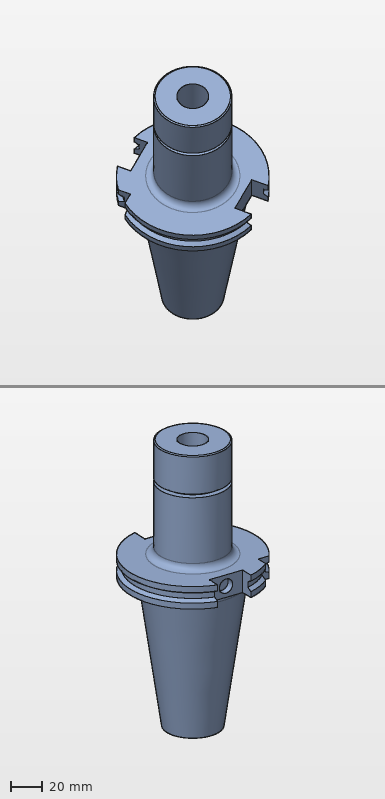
import cadquery as cq
import math

total_height = 201.8
taper_length = 101.7
taper_ratio = 7 / 24
gauge_radius = 35.0
tail_radius = gauge_radius - taper_length * taper_ratio / 2

flange_diameter = 97.5
flange_radius = flange_diameter / 2
flange_bottom = 105.0
flange_top = 120.8
flange_middle = (flange_bottom + flange_top) / 2
v_root_radius = 45.5
v_root_width = 3.8
v_flank_angle = 30.0
v_flank_height = (flange_radius - v_root_radius) * math.tan(math.radians(v_flank_angle))
v_root_bottom = flange_middle - v_root_width / 2
v_root_top = flange_middle + v_root_width / 2

nose_radius = 25.0
nose_fillet = 5.0
nose_groove_radius = 20.5
nose_groove_offset = 26.8
nose_groove_top = total_height - nose_groove_offset
nose_groove_width = 2.6
rim_chamfer_width = 1.0
rim_chamfer_height = 0.6
bore_diameter = 20.2
bore_depth = 50.5

key_slot_width = 25.6
left_slot_floor = 37.7
right_slot_floor = 35.5
notch_x = 29.9
notch_y = 30.3
side_hole_diameter = 10.0
side_hole_depth = 5.0


def turned_body():
    """Revolve the half profile of shank, flange and nose about Z."""
    fillet_middle_offset = nose_fillet * (1 - math.sqrt(0.5))
    nose_groove_bottom = nose_groove_top - nose_groove_width
    return (
        cq.Workplane("XZ")
        .lineTo(tail_radius, 0)
        .lineTo(gauge_radius, taper_length)
        .lineTo(gauge_radius, flange_bottom)
        .lineTo(flange_radius, flange_bottom)
        .lineTo(flange_radius, v_root_bottom - v_flank_height)
        .lineTo(v_root_radius, v_root_bottom)
        .lineTo(v_root_radius, v_root_top)
        .lineTo(flange_radius, v_root_top + v_flank_height)
        .lineTo(flange_radius, flange_top)
        .lineTo(nose_radius + nose_fillet, flange_top)
        .threePointArc(
            (nose_radius + fillet_middle_offset, flange_top + fillet_middle_offset),
            (nose_radius, flange_top + nose_fillet),
        )
        .lineTo(nose_radius, nose_groove_bottom)
        .lineTo(nose_groove_radius, nose_groove_bottom)
        .lineTo(nose_groove_radius, nose_groove_top)
        .lineTo(nose_radius, nose_groove_top)
        .lineTo(nose_radius, total_height - rim_chamfer_height)
        .lineTo(nose_radius - rim_chamfer_width, total_height)
        .lineTo(0, total_height)
        .close()
        .revolve(360, (0, 0, 0), (0, 1, 0))
    )


def flange_cutter(x_start, x_end, y_start, y_end):
    """Block spanning the full flange thickness."""
    return (
        cq.Workplane("XY", origin=(0, 0, flange_bottom))
        .moveTo((x_start + x_end) / 2, (y_start + y_end) / 2)
        .rect(abs(x_end - x_start), abs(y_end - y_start))
        .extrude(flange_top - flange_bottom)
    )


def bore():
    """Blind tool bore in the nose end."""
    return (
        cq.Workplane("XY", origin=(0, 0, total_height - bore_depth))
        .circle(bore_diameter / 2)
        .extrude(bore_depth)
    )


def side_hole():
    """Blind radial hole in the floor of the left key slot."""
    return (
        cq.Workplane("YZ", origin=(-left_slot_floor, 0, flange_middle))
        .circle(side_hole_diameter / 2)
        .extrude(side_hole_depth)
    )


half_slot = key_slot_width / 2
result = (
    turned_body()
    .cut(flange_cutter(-flange_radius, -left_slot_floor, -half_slot, half_slot))
    .cut(flange_cutter(right_slot_floor, flange_radius, -half_slot, half_slot))
    .cut(flange_cutter(-flange_radius, -notch_x, -flange_radius, -notch_y))
    .cut(bore())
    .cut(side_hole())
)